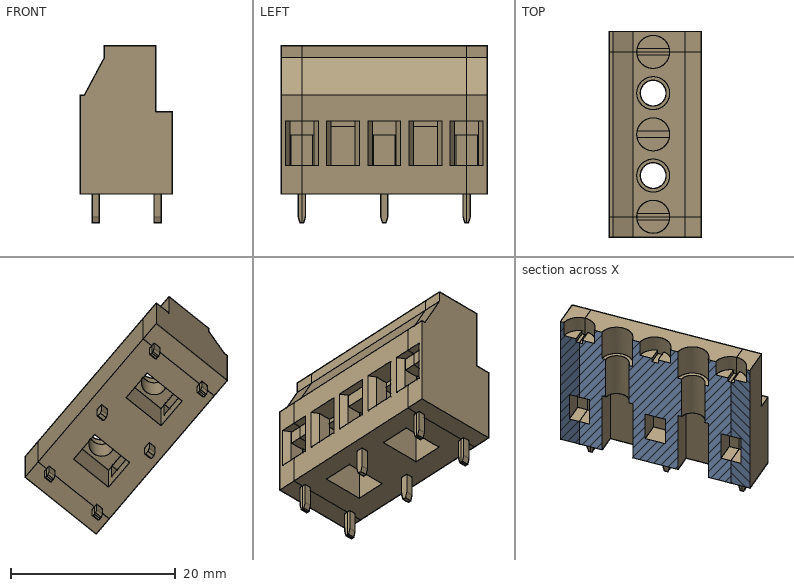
import cadquery as cq


block_length = 25.0
block_depth = 11.2
block_height = 18.0
shelf_height = 10.0
shelf_depth = 2.0
front_face_height = 12.0
ledge_depth = 0.5
roof_setback = 2.92
brow_height = 1.45

pole_count = 5
pole_pitch = block_length / pole_count
pole_positions = [(i - (pole_count - 1) / 2) * pole_pitch for i in range(pole_count)]
fitted_poles = pole_positions[0::2]
empty_poles = pole_positions[1::2]
section_length = fitted_poles[-1] - fitted_poles[0]

screw_x = 5.35
bore_diameter = 4.0
neck_diameter = 3.1
screw_head_depth = 2.0
bore_depth = 4.0
slot_width = 0.8
slot_depth = 0.5

entry_floor = 3.5
entry_height = 5.35
entry_width = 4.0
passage_width = 2.9
mouth_depth = 0.9
chamber_front = 2.6
chamber_back = 2 * screw_x - chamber_front
chamber_width = bore_diameter
chamber_lintel = 0.62
chamber_height = entry_floor + entry_height - chamber_lintel
clamp_lip_front = 1.0
clamp_lip_height = 1.7
clamp_front = 2.8
clamp_opening_width = 2.6
clamp_opening_height = entry_height - clamp_lip_height

pin_width = 0.9
pin_length = 3.5
pin_tip_width = 0.45
pin_tip_length = 0.75
first_pin_x = 1.9
pin_row_pitch = 7.5


def box(x_start, x_end, width, y_center, z_start, height):
    """Box between two X positions, centred on y_center."""
    return (
        cq.Workplane("XY", origin=(x_start, y_center, z_start))
        .box(x_end - x_start, width, height, centered=(False, True, False))
    )


def shaft(y, diameter, z_start, z_end):
    """Upright cylinder on the screw axis of a pole."""
    return (
        cq.Workplane("XY", origin=(screw_x, y, z_start))
        .circle(diameter / 2)
        .extrude(z_end - z_start)
    )


def housing_blank():
    """Stepped and sloped housing profile, extruded along the row."""
    shelf_x = block_depth - shelf_depth
    outline = [
        (0, 0),
        (block_depth, 0),
        (block_depth, shelf_height),
        (shelf_x, shelf_height),
        (shelf_x, block_height),
        (roof_setback, block_height),
        (roof_setback, block_height - brow_height),
        (ledge_depth, front_face_height),
        (0, front_face_height),
    ]
    return cq.Workplane("XZ").polyline(outline).close().extrude(block_length / 2, both=True)


def entry_mouth(y):
    """Opening in the front face, narrowing to the passage width."""
    outline = [
        (0, y - entry_width / 2),
        (mouth_depth, y - passage_width / 2),
        (mouth_depth, y + passage_width / 2),
        (0, y + entry_width / 2),
    ]
    return (
        cq.Workplane("XY", origin=(0, 0, entry_floor))
        .polyline(outline).close()
        .extrude(entry_height)
    )


def empty_pole_cavity(y):
    """Wire entry, open chamber and stepped shaft of a pole without metal parts."""
    passage = box(mouth_depth, chamber_front, passage_width, y, entry_floor, entry_height)
    chamber = box(chamber_front, chamber_back, chamber_width, y, 0, chamber_height)
    neck = shaft(y, neck_diameter, 0, block_height)
    bore = shaft(y, bore_diameter, block_height - bore_depth, block_height)
    return entry_mouth(y).union(passage).union(chamber).union(neck).union(bore)


def fitted_pole_cavity(y):
    """Wire entry under the clamp lip, clamp opening, and bore down to the slotted screw head."""
    lip_gap = box(mouth_depth, clamp_lip_front, passage_width, y, entry_floor, entry_height)
    passage = box(mouth_depth, clamp_front, passage_width, y, entry_floor, clamp_opening_height)
    clamp_opening = box(
        clamp_front, chamber_back, clamp_opening_width, y, entry_floor, clamp_opening_height
    )
    head_top = block_height - screw_head_depth
    bore = shaft(y, bore_diameter, head_top, block_height)
    slot_floor = head_top - slot_depth
    head_radius = bore_diameter / 2
    slot = box(screw_x - head_radius, screw_x + head_radius, slot_width, y, slot_floor, slot_depth)
    slot = slot.intersect(shaft(y, bore_diameter, slot_floor, head_top))
    entry = entry_mouth(y).union(lip_gap).union(passage).union(clamp_opening)
    return entry.union(bore).union(slot)


def solder_pin(x, y):
    """Square pin below the board side, its tip tapered in Y."""
    shoulder_z = pin_tip_length - pin_length
    outline = [
        (y - pin_width / 2, 0),
        (y - pin_width / 2, shoulder_z),
        (y - pin_tip_width / 2, -pin_length),
        (y + pin_tip_width / 2, -pin_length),
        (y + pin_width / 2, shoulder_z),
        (y + pin_width / 2, 0),
    ]
    return (
        cq.Workplane("YZ", origin=(x - pin_width / 2, 0, 0))
        .polyline(outline).close()
        .extrude(pin_width)
    )


def terminal_row():
    """All five poles before the row is divided at its joints."""
    row = housing_blank()
    for y in empty_poles:
        row = row.cut(empty_pole_cavity(y))
    for y in fitted_poles:
        row = row.cut(fitted_pole_cavity(y))
        for x in (first_pin_x, first_pin_x + pin_row_pitch):
            row = row.union(solder_pin(x, y))
    return row


def row_section(row, y_center, length):
    """Slice of the row between two joint planes."""
    slab = box(0, block_depth, length, y_center, -pin_length, block_height + pin_length)
    return row.intersect(slab, clean=False).solids()


row = terminal_row()

center_section = row_section(row, 0, section_length)

end_length = (block_length - section_length) / 2
end_offset = (section_length + end_length) / 2
end_sections = [row_section(row, side * end_offset, end_length) for side in (-1, 1)]

result = cq.Compound.makeCompound(
    [center_section.val(), *[section.val() for section in end_sections]]
)